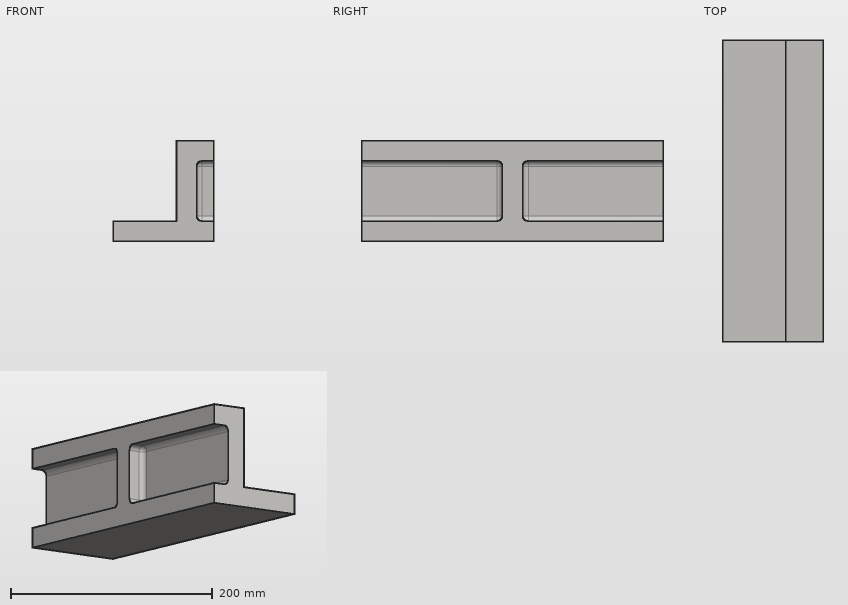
import cadquery as cq

length = 300.0
width = 100.0
height = 100.0

wall = 20.0
pocket_depth = 17.0
pocket_radius = 5.5

upright_thickness = wall + pocket_depth
pocket_height = height - 2 * wall
pocket_length = (length - wall) / 2


def angle_body():
    """L-shaped bar running along Y, with its upright on the +X side."""
    base = cq.Workplane("XY").box(width, length, wall, centered=False)
    upright = (
        cq.Workplane("XY")
        .box(upright_thickness, length, height, centered=False)
        .translate((width - upright_thickness, 0, 0))
    )
    return base.union(upright)


def front_pocket():
    """Pocket in the +X face, open at the -Y end and rounded along its inner edges."""
    overrun = wall
    block = (
        cq.Workplane("XY")
        .box(pocket_depth + overrun, pocket_length + overrun, pocket_height, centered=False)
        .translate((width - pocket_depth, -overrun, wall))
    )
    floor_edges = block.faces("<X").edges("|Y or >Y")
    end_edges = block.faces(">Y").edges("|X")
    return block.newObject(floor_edges.vals() + end_edges.vals()).fillet(pocket_radius)


pocket = front_pocket()
opposite_pocket = pocket.mirror("XZ", (0, length / 2, 0))

result = angle_body().cut(pocket).cut(opposite_pocket)